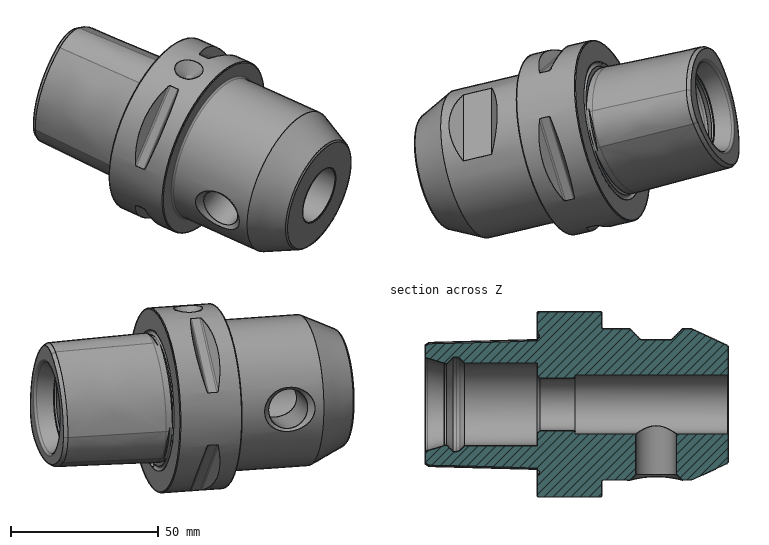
import cadquery as cq
import math


TOTAL_LENGTH = 103.0
SHANK_LENGTH = 38.0
NOSE_END = TOTAL_LENGTH - SHANK_LENGTH

LOBE_REACH = 23.4
FLAT_REACH = 20.8
LOBE_ARC_RADIUS = 13.3
LOBE_ANGLES = (90.0, 210.0, 330.0)
LOBE_TO_FLAT = 60.0
TAPER_DROP = 0.9
STRAIGHT_LENGTH = 2.2
SHANK_CHAMFER_LENGTH = 1.3
SHANK_CHAMFER_DROP = 0.8

RELIEF_INNER_RADIUS = 22.5
RELIEF_OUTER_RADIUS = 24.1
RELIEF_STRAIGHT = 0.9

FLANGE_DIAMETER = 63.0
FLANGE_LENGTH = 22.0
FLANGE_CHAMFER = 0.3
FEATURE_X = 11.9
SLOT_FLOOR_RADIUS = 27.8
SLOT_FLOOR_WIDTH = 3.7
SLOT_WALL_ANGLE = 30.0
SLOT_CORNER_RADIUS = 0.6
SLOT_CLEARANCE = 1.0
SLOT_ANGLES = (45.0, 135.0, 225.0, 315.0)
DIMPLE_RADIUS = 4.9

BODY_DIAMETER = 51.5
BODY_FILLET = 0.6
NOSE_START = 52.5
NOSE_ANGLE = 25.0
NOSE_CHAMFER = 0.5

SCREW_X = 40.5
SCREW_DIAMETER = 13.8
SCREW_SINK_DIAMETER = 17.8
NOTCH_FLOOR_WIDTH = 10.5
NOTCH_DEPTH = 3.7

MOUTH_ROUND = 0.8
ENTRY_DIAMETER = 31.3
SHANK_BORE_DIAMETER = 28.0
LIP_DIAMETER = 27.6
LIP_START = 6.4
LIP_END = 7.3
LOCK_GROOVE_DIAMETER = 32.0
LOCK_GROOVE_STRAIGHT_END = 10.6
LOCK_GROOVE_CORNER = 1.8
LOCK_GROOVE_BACK_ANGLE = 45.0

PASSAGE_DIAMETER = 17.8
TOOL_BORE_DIAMETER = 20.0
TOOL_BORE_MOUTH_DIAMETER = 20.5
TOOL_BORE_DEPTH = 52.0


def polar(radius, angle_deg):
    angle = math.radians(angle_deg)
    return (radius * math.cos(angle), radius * math.sin(angle))


def revolve_about_x(profile):
    """Turn an (x, radius) profile about the X axis."""
    return profile.close().revolve(360, (0, 0, 0), (1, 0, 0))


def polygon_wire(x, inset):
    """Three-lobed outline of tangent arcs at station x, shrunk evenly by inset."""
    lobe_centre = LOBE_REACH - LOBE_ARC_RADIUS
    difference = LOBE_REACH - FLAT_REACH
    flat_centre = difference * (2 * lobe_centre - difference) / (lobe_centre - 2 * difference)
    flat_radius = FLAT_REACH + flat_centre - inset
    lobe_reach = LOBE_REACH - inset
    flat_reach = FLAT_REACH - inset
    joint_turn = math.atan2(
        lobe_centre * math.sin(math.radians(LOBE_TO_FLAT)),
        flat_centre + lobe_centre * math.cos(math.radians(LOBE_TO_FLAT)),
    )
    joint_along = flat_radius * math.cos(joint_turn) - flat_centre
    joint_across = flat_radius * math.sin(joint_turn)
    joint_reach = math.hypot(joint_along, joint_across)
    joint_angle = math.degrees(math.atan2(joint_across, joint_along))

    start_angle = LOBE_ANGLES[0] - LOBE_TO_FLAT + joint_angle
    outline = cq.Workplane("YZ", origin=(x, 0, 0)).moveTo(*polar(joint_reach, start_angle))
    for lobe_angle in LOBE_ANGLES:
        flat_angle = lobe_angle + LOBE_TO_FLAT
        outline = outline.threePointArc(
            polar(lobe_reach, lobe_angle), polar(joint_reach, flat_angle - joint_angle)
        )
        outline = outline.threePointArc(
            polar(flat_reach, flat_angle), polar(joint_reach, flat_angle + joint_angle)
        )
    return outline.close().val()


def make_shank():
    shank_root = FLANGE_LENGTH / 2
    stations = [
        (-SHANK_LENGTH, TAPER_DROP + SHANK_CHAMFER_DROP),
        (-SHANK_LENGTH + SHANK_CHAMFER_LENGTH, TAPER_DROP),
        (-STRAIGHT_LENGTH, 0),
        (shank_root, 0),
    ]
    wires = [polygon_wire(x, inset) for x, inset in stations]
    shank = cq.Workplane(cq.Solid.makeLoft(wires[:2], True))
    for near, far in zip(wires[1:], wires[2:]):
        shank = shank.union(cq.Workplane(cq.Solid.makeLoft([near, far], True)))
    return shank


def make_flange_and_body():
    flange_radius = FLANGE_DIAMETER / 2
    body_radius = BODY_DIAMETER / 2
    nose_chamfer_x = NOSE_END - NOSE_CHAMFER
    nose_radius = body_radius - (nose_chamfer_x - NOSE_START) * math.tan(math.radians(NOSE_ANGLE))
    fillet_sag = BODY_FILLET * (1 - math.sqrt(0.5))
    profile = (
        cq.Workplane("XY")
        .lineTo(0, flange_radius - FLANGE_CHAMFER)
        .lineTo(FLANGE_CHAMFER, flange_radius)
        .lineTo(FLANGE_LENGTH - FLANGE_CHAMFER, flange_radius)
        .lineTo(FLANGE_LENGTH, flange_radius - FLANGE_CHAMFER)
        .lineTo(FLANGE_LENGTH, body_radius + BODY_FILLET)
        .threePointArc(
            (FLANGE_LENGTH + fillet_sag, body_radius + fillet_sag),
            (FLANGE_LENGTH + BODY_FILLET, body_radius),
        )
        .lineTo(NOSE_START, body_radius)
        .lineTo(nose_chamfer_x, nose_radius)
        .lineTo(NOSE_END, nose_radius - NOSE_CHAMFER)
        .lineTo(NOSE_END, 0)
    )
    return revolve_about_x(profile)


def relief_groove():
    """Round-bottomed groove in the flange face that runs out at 45 degrees over the lobes."""
    runout = RELIEF_OUTER_RADIUS - RELIEF_INNER_RADIUS
    groove_radius = runout / 2
    profile = (
        cq.Workplane("XY")
        .moveTo(0, RELIEF_OUTER_RADIUS)
        .lineTo(-RELIEF_STRAIGHT - runout, RELIEF_OUTER_RADIUS)
        .lineTo(-RELIEF_STRAIGHT, RELIEF_INNER_RADIUS)
        .lineTo(0, RELIEF_INNER_RADIUS)
        .threePointArc((groove_radius, RELIEF_INNER_RADIUS + groove_radius), (0, RELIEF_OUTER_RADIUS))
    )
    return revolve_about_x(profile)


def gripper_slot(angle):
    """Straight trapezoidal slot across the flange rim, floor square to the given direction."""
    top = FLANGE_DIAMETER / 2 + SLOT_CLEARANCE
    half_floor = SLOT_FLOOR_WIDTH / 2
    half_top = half_floor + (top - SLOT_FLOOR_RADIUS) * math.tan(math.radians(SLOT_WALL_ANGLE))
    slot_half_length = FLANGE_DIAMETER / 2
    slot = (
        cq.Workplane("XZ")
        .polyline([
            (FEATURE_X - half_floor, SLOT_FLOOR_RADIUS),
            (FEATURE_X + half_floor, SLOT_FLOOR_RADIUS),
            (FEATURE_X + half_top, top),
            (FEATURE_X - half_top, top),
        ])
        .close()
        .extrude(slot_half_length, both=True)
        .faces("<Z").edges("|Y").fillet(SLOT_CORNER_RADIUS)
    )
    return slot.rotate((0, 0, 0), (1, 0, 0), angle)


def dimple():
    cone = cq.Solid.makeCone(
        0, 2 * DIMPLE_RADIUS, 2 * DIMPLE_RADIUS,
        pnt=cq.Vector(FEATURE_X, 0, FLANGE_DIAMETER / 2 - DIMPLE_RADIUS),
    )
    return cq.Workplane(cone)


def screw_hole():
    """Round hole from the -Y side into the tool bore, with a 45 degree countersink."""
    body_radius = BODY_DIAMETER / 2
    sink_radius = SCREW_SINK_DIAMETER / 2
    inward = cq.Vector(0, 1, 0)
    start = cq.Vector(SCREW_X, -body_radius, 0)
    hole = cq.Solid.makeCylinder(SCREW_DIAMETER / 2, body_radius, start, inward)
    sink = cq.Solid.makeCone(sink_radius, 0, sink_radius, start, inward)
    return cq.Workplane(hole).union(cq.Workplane(sink))


def notch():
    """Notch with a flat floor and 45 degree ends, cut straight through along Z."""
    body_radius = BODY_DIAMETER / 2
    half_floor = NOTCH_FLOOR_WIDTH / 2
    half_top = half_floor + NOTCH_DEPTH
    return (
        cq.Workplane("XY")
        .polyline([
            (SCREW_X - half_floor, body_radius - NOTCH_DEPTH),
            (SCREW_X + half_floor, body_radius - NOTCH_DEPTH),
            (SCREW_X + half_top, body_radius),
            (SCREW_X - half_top, body_radius),
        ])
        .close()
        .extrude(body_radius, both=True)
    )


def bore():
    """Stepped axial bore: coupling bore, narrow passage and tool bore, open at both ends."""
    shank_end = -SHANK_LENGTH
    entry_radius = ENTRY_DIAMETER / 2
    round_sag = MOUTH_ROUND * (1 - math.sqrt(0.5))
    shank_bore_radius = SHANK_BORE_DIAMETER / 2
    lip_radius = LIP_DIAMETER / 2
    groove_radius = LOCK_GROOVE_DIAMETER / 2
    passage_radius = PASSAGE_DIAMETER / 2
    tool_radius = TOOL_BORE_DIAMETER / 2
    mouth_chamfer = (TOOL_BORE_MOUTH_DIAMETER - TOOL_BORE_DIAMETER) / 2
    tool_bore_end = NOSE_END - TOOL_BORE_DEPTH
    passage_chamfer = tool_radius - passage_radius
    lip_drop = shank_bore_radius - lip_radius
    front_flare = groove_radius - lip_radius

    corner_start = shank_end + LOCK_GROOVE_STRAIGHT_END

    def corner_point(turn_deg):
        turn = math.radians(turn_deg)
        return (
            corner_start + LOCK_GROOVE_CORNER * math.sin(turn),
            groove_radius - LOCK_GROOVE_CORNER * (1 - math.cos(turn)),
        )

    wall_x, wall_radius = corner_point(LOCK_GROOVE_BACK_ANGLE)
    wall_length = (wall_radius - shank_bore_radius) / math.tan(math.radians(LOCK_GROOVE_BACK_ANGLE))

    profile = (
        cq.Workplane("XY")
        .moveTo(shank_end, 0)
        .lineTo(shank_end, entry_radius + MOUTH_ROUND)
        .threePointArc(
            (shank_end + round_sag, entry_radius + round_sag),
            (shank_end + MOUTH_ROUND, entry_radius),
        )
        .lineTo(shank_end + LIP_START, shank_bore_radius)
        .lineTo(shank_end + LIP_START + lip_drop, lip_radius)
        .lineTo(shank_end + LIP_END, lip_radius)
        .lineTo(shank_end + LIP_END + front_flare, groove_radius)
        .lineTo(corner_start, groove_radius)
        .threePointArc(corner_point(LOCK_GROOVE_BACK_ANGLE / 2), (wall_x, wall_radius))
        .lineTo(wall_x + wall_length, shank_bore_radius)
        .lineTo(0, shank_bore_radius)
        .lineTo(0, tool_radius)
        .lineTo(passage_chamfer, passage_radius)
        .lineTo(tool_bore_end, passage_radius)
        .lineTo(tool_bore_end, tool_radius)
        .lineTo(NOSE_END - mouth_chamfer, tool_radius)
        .lineTo(NOSE_END, tool_radius + mouth_chamfer)
        .lineTo(NOSE_END, 0)
    )
    return revolve_about_x(profile)


result = make_flange_and_body().union(make_shank())
for slot_angle in SLOT_ANGLES:
    result = result.cut(gripper_slot(slot_angle))
for cutter in (relief_groove(), dimple(), screw_hole(), notch(), bore()):
    result = result.cut(cutter)